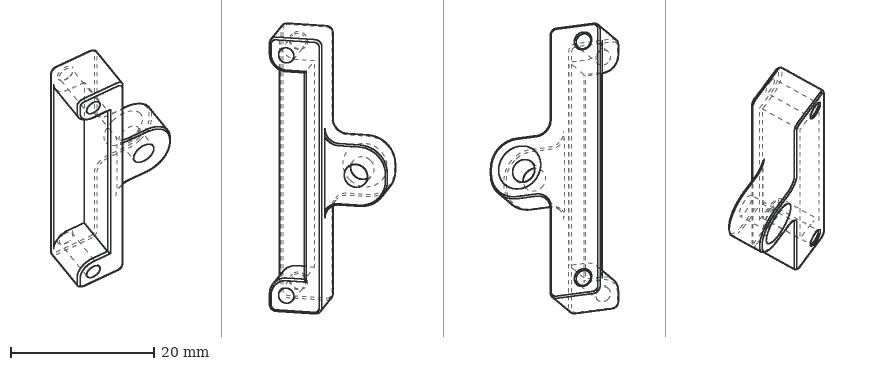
import cadquery as cq

bar_length = 40.0
bar_depth = 7.5
bar_width = 7.5
bar_corner_radius = 1.0

lug_depth = 5.5
lug_tip = 16.5
lug_half_height = 4.5
lug_corner_radius = 4.0
lug_root_radius = 2.0

plate_thickness = 1.0
recess_floor = 5.0
post_radius = 2.5
post_height = 2 * post_radius

post_hole_diameter = 2.2
post_hole_chamfer = 0.2
screw_hole_diameter = 3.3
countersink_diameter = 6.3
countersink_angle = 90

front_chamfer = 0.25
lug_back_chamfer = 0.25
bar_back_chamfer = 0.3

half_length = bar_length / 2
post_center_z = half_length - post_radius
recess_half_length = half_length - post_height
overlap = (bar_width - recess_floor) / 2


def make_bar():
    """Rounded bar with the recess cut through to the back."""
    bar = (
        cq.Workplane("YZ")
        .rect(bar_width, bar_length)
        .extrude(bar_depth)
        .edges("|X")
        .fillet(bar_corner_radius)
        .translate((0, bar_width / 2, 0))
    )
    recess = (
        cq.Workplane("YZ", origin=(plate_thickness, 0, 0))
        .moveTo(0, -post_center_z)
        .radiusArc((post_radius, -recess_half_length), post_radius)
        .lineTo(recess_floor, -recess_half_length)
        .lineTo(recess_floor, recess_half_length)
        .lineTo(post_radius, recess_half_length)
        .radiusArc((0, post_center_z), post_radius)
        .close()
        .extrude(bar_depth - plate_thickness)
    )
    return bar.cut(recess).faces(">X").chamfer(bar_back_chamfer)


def make_lug():
    """Rounded lug that flares into the bar and overlaps it."""
    flare_half_height = lug_half_height + lug_root_radius
    root_y = bar_width + lug_root_radius
    tip_start_y = lug_tip - lug_corner_radius
    tip_half_flat = lug_half_height - lug_corner_radius
    lug = (
        cq.Workplane("YZ")
        .moveTo(bar_width - overlap, -flare_half_height)
        .lineTo(bar_width, -flare_half_height)
        .radiusArc((root_y, -lug_half_height), lug_root_radius)
        .lineTo(tip_start_y, -lug_half_height)
        .radiusArc((lug_tip, -tip_half_flat), -lug_corner_radius)
        .lineTo(lug_tip, tip_half_flat)
        .radiusArc((tip_start_y, lug_half_height), -lug_corner_radius)
        .lineTo(root_y, lug_half_height)
        .radiusArc((bar_width, flare_half_height), lug_root_radius)
        .lineTo(bar_width - overlap, flare_half_height)
        .close()
        .extrude(lug_depth)
    )
    margin = 0.05
    outer_edges = cq.selectors.BoxSelector(
        (lug_depth - margin, bar_width, -half_length),
        (lug_depth + margin, lug_tip + margin, half_length),
    )
    return lug.edges(outer_edges).chamfer(lug_back_chamfer)


def cut_holes(body):
    """Countersunk lug hole and two edge-broken holes through the end posts."""
    front = cq.Workplane("YZ").workplane(invert=True)
    body = (
        body.copyWorkplane(front)
        .pushPoints([(lug_tip - lug_half_height, 0)])
        .cskHole(screw_hole_diameter, countersink_diameter, countersink_angle)
    )
    mouth_diameter = post_hole_diameter + 2 * post_hole_chamfer
    for side in (-1, 1):
        body = (
            body.copyWorkplane(front)
            .pushPoints([(post_radius, side * post_center_z)])
            .cskHole(post_hole_diameter, mouth_diameter, countersink_angle)
        )
    return body


body = make_bar().union(make_lug())
body = body.faces("<X").chamfer(front_chamfer)
result = cut_holes(body)